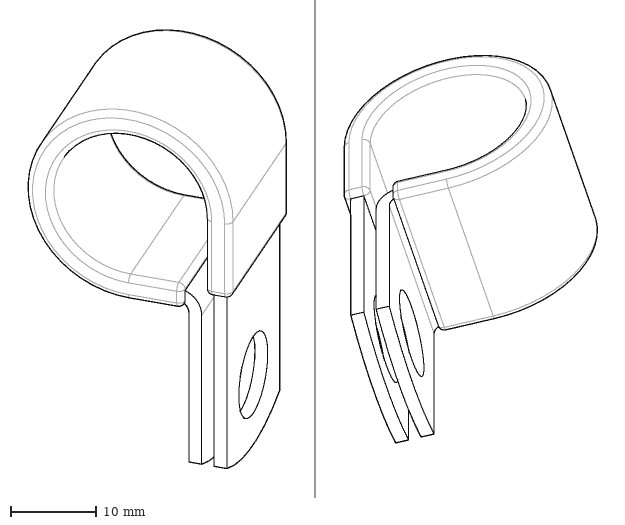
import cadquery as cq
import math


total_height = 48.35
outer_diameter = 25.3
cushion_width = 20.65
cushion_wall = 0.75
strap_thickness = 1.6
cushion_end_x = 6.7
cushion_end_z = -10.25
leg_gap = 1.5
bend_radius = 1.55
tip_rise = 2.1
hole_diameter = 10.4
hole_z = -26.2

outer_radius = outer_diameter / 2
inner_radius = outer_radius - 2 * cushion_wall - strap_thickness
strap_outer = outer_radius - cushion_wall
strap_inner = strap_outer - strap_thickness
strap_width = cushion_width - 2 * cushion_wall
tip_z = outer_radius - total_height
bent_leg_outer = strap_inner - leg_gap
bent_leg_inner = bent_leg_outer - strap_thickness
bend_x = bent_leg_inner - bend_radius
bend_z = -strap_outer - bend_radius
bend_outer_radius = bend_radius + strap_thickness
diagonal = math.sqrt(0.5)


def make_cushion():
    """Three-quarter loop with two straight runs and all outer edges rounded."""
    body = (
        cq.Workplane("XZ")
        .moveTo(outer_radius, cushion_end_z)
        .lineTo(outer_radius, 0)
        .threePointArc((-outer_radius * diagonal, outer_radius * diagonal), (0, -outer_radius))
        .lineTo(cushion_end_x, -outer_radius)
        .lineTo(cushion_end_x, -inner_radius)
        .lineTo(0, -inner_radius)
        .threePointArc((-inner_radius * diagonal, inner_radius * diagonal), (inner_radius, 0))
        .lineTo(inner_radius, cushion_end_z)
        .close()
        .extrude(cushion_width / 2, both=True)
    )
    middle_radius = (outer_radius + inner_radius) / 2
    side_edges = body.faces("<Y or >Y").edges()
    bent_end = body.faces(cq.NearestToPointSelector((cushion_end_x, 0, -middle_radius))).edges()
    upright_end = body.faces(cq.NearestToPointSelector((middle_radius, 0, cushion_end_z))).edges()
    return side_edges.add(bent_end).add(upright_end).fillet(cushion_wall)


def make_strap():
    """Steel strip running around the loop and down into both legs."""
    return (
        cq.Workplane("XZ")
        .moveTo(strap_outer, tip_z)
        .lineTo(strap_outer, 0)
        .threePointArc((-strap_outer * diagonal, strap_outer * diagonal), (0, -strap_outer))
        .lineTo(bend_x, -strap_outer)
        .threePointArc(
            (bend_x + bend_radius * diagonal, bend_z + bend_radius * diagonal),
            (bent_leg_inner, bend_z),
        )
        .lineTo(bent_leg_inner, tip_z)
        .lineTo(bent_leg_outer, tip_z)
        .lineTo(bent_leg_outer, bend_z)
        .threePointArc(
            (bend_x + bend_outer_radius * diagonal, bend_z + bend_outer_radius * diagonal),
            (bend_x, -strap_inner),
        )
        .lineTo(0, -strap_inner)
        .threePointArc((-strap_inner * diagonal, strap_inner * diagonal), (strap_inner, 0))
        .lineTo(strap_inner, tip_z)
        .close()
        .extrude(strap_width / 2, both=True)
    )


def make_leg_outline():
    """Front-on shape of the strap, with arched tips, as a block across X."""
    shoulder_z = tip_z + tip_rise
    return (
        cq.Workplane("YZ")
        .moveTo(-strap_width / 2, outer_radius)
        .lineTo(-strap_width / 2, shoulder_z)
        .threePointArc((0, tip_z), (strap_width / 2, shoulder_z))
        .lineTo(strap_width / 2, outer_radius)
        .close()
        .extrude(outer_radius, both=True)
    )


def make_bolt_hole():
    """Cylinder along X through both legs."""
    return (
        cq.Workplane("YZ")
        .center(0, hole_z)
        .circle(hole_diameter / 2)
        .extrude(outer_radius)
    )


strap = make_strap().intersect(make_leg_outline()).cut(make_bolt_hole())
result = make_cushion().union(strap)